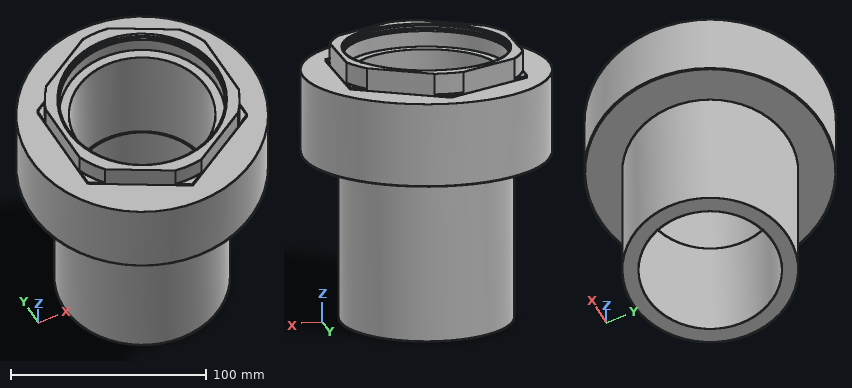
import cadquery as cq

total_height = 144.0
collar_bottom = 88.0
collar_top = 132.0
hex_base_thickness = 1.0
nut_bottom = collar_top + hex_base_thickness

tube_diameter = 90.1
collar_diameter = 129.0
collar_edge_chamfer = 0.5
hex_across_flats = 93.0
nut_corner_diameter = 99.8

bore_bottom_diameter = 73.5
bore_top_diameter = 75.0
bore_step_height = 72.0
socket_diameter = 85.1
socket_depth = 12.1

bevel = 0.9
groove_center_depth = 3.0


def cylinder(diameter, bottom, top):
    """Upright cylinder about the part axis."""
    return cq.Workplane("XY").workplane(offset=bottom).circle(diameter / 2).extrude(top - bottom)


def hexagon(bottom, top):
    """Hexagonal prism with two flats facing -X and +X."""
    return (
        cq.Workplane("XY")
        .workplane(offset=bottom)
        .polygon(6, hex_across_flats, circumscribed=True)
        .extrude(top - bottom)
    )


def inner_cavity():
    """Revolved bore and socket, with the mouth bevel and the V groove in the socket wall."""
    bore_bottom_radius = bore_bottom_diameter / 2
    bore_top_radius = bore_top_diameter / 2
    socket_radius = socket_diameter / 2
    socket_floor = total_height - socket_depth
    groove_center = total_height - groove_center_depth
    return (
        cq.Workplane("XZ")
        .moveTo(0, 0)
        .lineTo(bore_bottom_radius, 0)
        .lineTo(bore_bottom_radius, bore_step_height)
        .lineTo(bore_top_radius, bore_step_height)
        .lineTo(bore_top_radius, socket_floor)
        .lineTo(socket_radius, socket_floor)
        .lineTo(socket_radius, groove_center - bevel)
        .lineTo(socket_radius + bevel, groove_center)
        .lineTo(socket_radius, groove_center + bevel)
        .lineTo(socket_radius, total_height - bevel)
        .lineTo(socket_radius + bevel, total_height)
        .lineTo(0, total_height)
        .close()
        .revolve(360, (0, 0, 0), (0, 1, 0))
    )


tube = cylinder(tube_diameter, 0, collar_top)
collar = cylinder(collar_diameter, collar_bottom, collar_top).faces("<Z").chamfer(collar_edge_chamfer)

hex_base = hexagon(collar_top, nut_bottom)
trimmed_nut = hexagon(nut_bottom, total_height).intersect(
    cylinder(nut_corner_diameter, nut_bottom, total_height)
)

body = tube.union(collar).union(hex_base).union(trimmed_nut)
result = body.cut(inner_cavity())